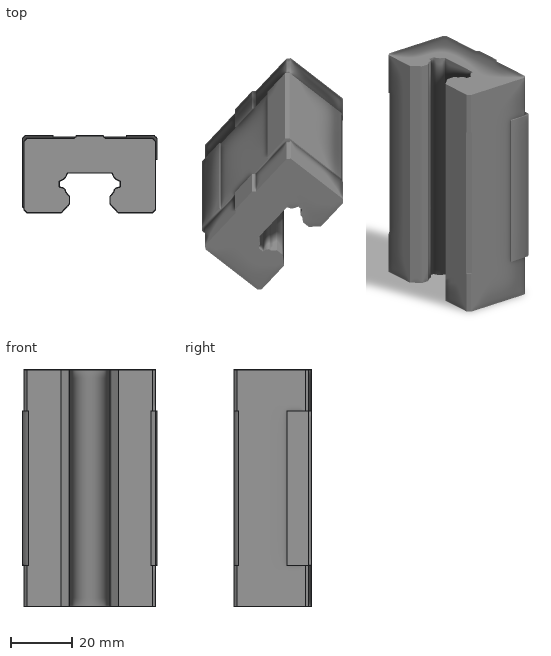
import cadquery as cq

block_width = 44.0
height = 25.4
total_length = 77.5
block_length = 50.5
cap_length = (total_length - block_length) / 2

block_half = block_width / 2
block_top_chamfer = 1.0
block_bottom_chamfer = 2.0
relief_half_width = 12.0
relief_depth = 0.5
undercut_height = 17.4

cap_half = 21.5
undercut_depth = block_half - cap_half
cap_top = 24.4
ridge_top = 25.3
cap_chamfer = 1.0
ridge_top_half = 4.3
ridge_base_half = 5.1

neck_half = 6.6
groove_half = 9.9
mouth_edge = (9.35, 0)
neck_facet_low = (6.9, 2.6)
neck_low = (neck_half, 3.0)
neck_high = (neck_half, 5.4)
waist_low = (7.9, 6.9)
waist_high = (7.95, 7.5)
lower_lip_middle = (8.4, 8.0)
lower_lip_end = (9.1, 8.3)
groove_low = (groove_half, 8.5)
groove_high = (groove_half, 10.35)
upper_lip_start = (9.1, 10.7)
upper_lip_middle = (8.1, 11.45)
upper_lip_end = (7.5, 12.5)
roof_corner = (7.3, 13.0)


def block_body():
    """Middle block with chamfered edges, a shallow relief and an undercut +X side."""
    body = (
        cq.Workplane("XY")
        .workplane(offset=cap_length)
        .moveTo(-block_half + block_bottom_chamfer, 0)
        .lineTo(block_half - block_bottom_chamfer, 0)
        .lineTo(block_half, block_bottom_chamfer)
        .lineTo(block_half, height - block_top_chamfer)
        .lineTo(block_half - block_top_chamfer, height)
        .lineTo(relief_half_width, height)
        .lineTo(relief_half_width, height - relief_depth)
        .lineTo(-relief_half_width, height - relief_depth)
        .lineTo(-relief_half_width, height)
        .lineTo(-block_half + block_top_chamfer, height)
        .lineTo(-block_half, height - block_top_chamfer)
        .lineTo(-block_half, block_bottom_chamfer)
        .close()
        .extrude(block_length)
    )
    undercut = cq.Workplane("XY").box(
        undercut_depth, undercut_height, total_length, centered=False
    ).translate((block_half - undercut_depth, 0, 0))
    return body.cut(undercut)


def end_cap(start_z):
    """End cap with chamfered corners and a raised ridge along the middle of its +Y face."""
    return (
        cq.Workplane("XY")
        .workplane(offset=start_z)
        .moveTo(-cap_half + cap_chamfer, 0)
        .lineTo(cap_half - cap_chamfer, 0)
        .lineTo(cap_half, cap_chamfer)
        .lineTo(cap_half, cap_top - cap_chamfer)
        .lineTo(cap_half - cap_chamfer, cap_top)
        .lineTo(ridge_base_half, cap_top)
        .lineTo(ridge_top_half, ridge_top)
        .lineTo(-ridge_top_half, ridge_top)
        .lineTo(-ridge_base_half, cap_top)
        .lineTo(-cap_half + cap_chamfer, cap_top)
        .lineTo(-cap_half, cap_top - cap_chamfer)
        .lineTo(-cap_half, cap_chamfer)
        .close()
        .extrude(cap_length)
    )


def rail_channel():
    """Symmetric channel for the rail, open on the -Y side and running the full length."""
    half = (
        cq.Workplane("XY")
        .moveTo(0, 0)
        .lineTo(*mouth_edge)
        .lineTo(*neck_facet_low)
        .lineTo(*neck_low)
        .lineTo(*neck_high)
        .lineTo(*waist_low)
        .lineTo(*waist_high)
        .threePointArc(lower_lip_middle, lower_lip_end)
        .lineTo(*groove_low)
        .lineTo(*groove_high)
        .lineTo(*upper_lip_start)
        .threePointArc(upper_lip_middle, upper_lip_end)
        .lineTo(*roof_corner)
        .lineTo(0, roof_corner[1])
        .close()
        .extrude(total_length)
    )
    return half.union(half.mirror("YZ"))


body = block_body()
for cap_start in (0, total_length - cap_length):
    body = body.union(end_cap(cap_start))
result = body.cut(rail_channel())